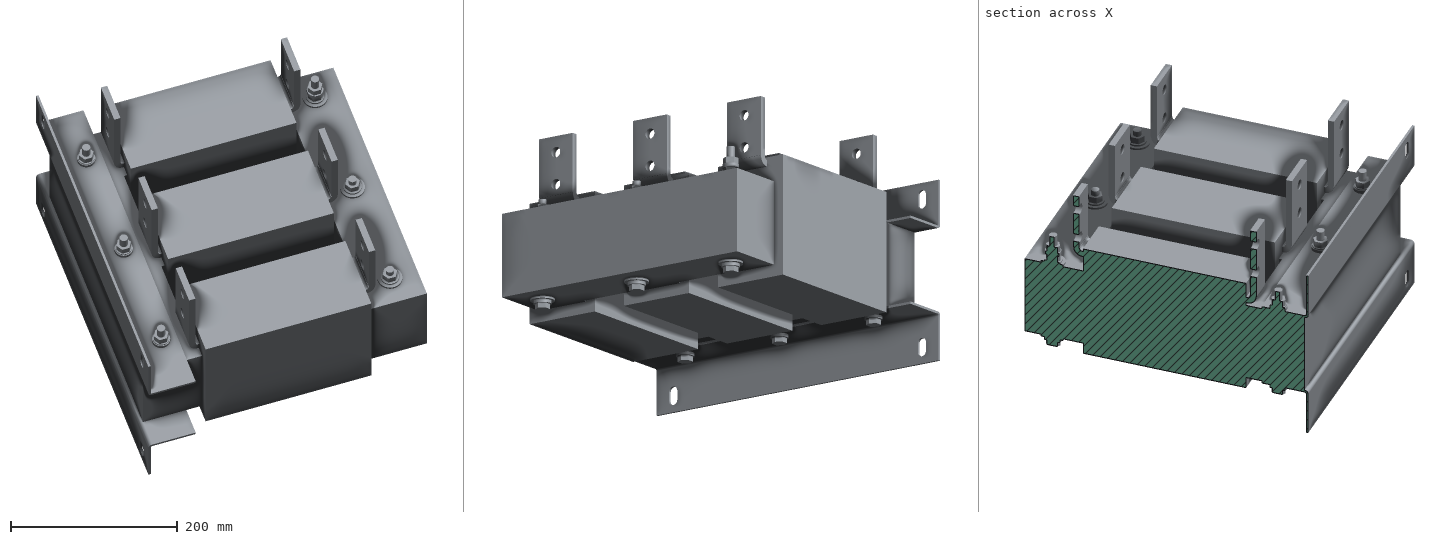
import cadquery as cq
import math


PHASE_PITCH = 140.0
LIMB_WIDTH = 70.0
CORE_WIDTH = 2 * PHASE_PITCH + LIMB_WIDTH
CORE_DEPTH = 360.0
CORE_HEIGHT = 104.0
CORE_TOP = CORE_HEIGHT / 2
YOKE_DEPTH = 71.0
PHASE_X = [-PHASE_PITCH, 0.0, PHASE_PITCH]

COIL_WIDTH = 97.0
COIL_DEPTH = 210.0
COIL_HEIGHT = 150.0
COIL_LIFT = 8.5

BRACKET_LENGTH = 420.0
BRACKET_SHEET = 3.0
BRACKET_DEPTH = 60.0
BRACKET_LEG = 60.5
BRACKET_BEND = 4.85
BRACKET_FRONT = -CORE_DEPTH / 2 - BRACKET_BEND
SLOT_SPACING = 370.0
SLOT_WIDTH = 12.0
SLOT_LENGTH = 23.0
SLOT_EDGE = 20.5

TERMINAL_WIDTH = 50.0
TERMINAL_THICKNESS = 8.0
TERMINAL_BEND = 11.0
TERMINAL_STUB = 0.5
TERMINAL_STEP = 0.5
TERMINAL_REACH = 13.0
TERMINAL_HOLE = 13.0
TERMINAL_HOLE_DEPTHS = [20.0, 60.0]
FRONT_TERMINAL_BOTTOM = 55.5
FRONT_TERMINAL_TOP = 160.0
REAR_TERMINAL_BOTTOM = 72.0
REAR_TERMINAL_TOP = 157.0

BOLT_Y = 145.0
BOLT_DIAMETER = 10.0
FRONT_BOLT_LENGTH = 140.0
REAR_BOLT_LENGTH = 130.0
EARTH_BOLT_LENGTH = 150.0
HEX_FLATS = 16.0
HEX_CORNERS = HEX_FLATS / math.cos(math.pi / 6)
NUT_HEIGHT = 8.0
HEAD_HEIGHT = 6.4
WIDE_WASHER_DIAMETER = 30.0
WIDE_WASHER_THICKNESS = 2.5
WASHER_DIAMETER = 22.0
THIN_WASHER_THICKNESS = 2.0
THICK_WASHER_THICKNESS = 4.0
LOCK_WASHER_DIAMETER = 20.0
LOCK_WASHER_THICKNESS = 1.5
EARTH_WASHER_THICKNESS = 5.0


def make_core():
    core = cq.Workplane("XY").box(CORE_WIDTH, CORE_DEPTH, CORE_HEIGHT)
    window_width = PHASE_PITCH - LIMB_WIDTH
    window_depth = CORE_DEPTH - 2 * YOKE_DEPTH
    windows = (
        cq.Workplane("XY")
        .pushPoints([(-PHASE_PITCH / 2, 0), (PHASE_PITCH / 2, 0)])
        .box(window_width, window_depth, CORE_HEIGHT)
    )
    return core.cut(windows)


def make_coil(x):
    return cq.Workplane("XY").box(COIL_WIDTH, COIL_DEPTH, COIL_HEIGHT).translate((x, 0, COIL_LIFT))


def make_bent_bar(length, flange_end, leg_face, bottom, top, thickness, bend):
    """Angle section in the YZ plane: a flange to +Y and a leg up, joined by a round bend."""
    inner_bend = bend - thickness
    bend_y = leg_face + bend
    bend_z = bottom + bend
    diagonal = math.sqrt(0.5)
    return (
        cq.Workplane("YZ")
        .moveTo(flange_end, bottom)
        .lineTo(bend_y, bottom)
        .threePointArc((bend_y - bend * diagonal, bend_z - bend * diagonal), (leg_face, bend_z))
        .lineTo(leg_face, top)
        .lineTo(leg_face + thickness, top)
        .lineTo(leg_face + thickness, bend_z)
        .threePointArc(
            (bend_y - inner_bend * diagonal, bend_z - inner_bend * diagonal),
            (bend_y, bottom + thickness),
        )
        .lineTo(flange_end, bottom + thickness)
        .close()
        .extrude(length / 2, both=True)
    )


def make_upper_bracket():
    leg_top = CORE_TOP + BRACKET_LEG
    bracket = make_bent_bar(
        BRACKET_LENGTH,
        BRACKET_FRONT + BRACKET_DEPTH,
        BRACKET_FRONT,
        CORE_TOP,
        leg_top,
        BRACKET_SHEET,
        BRACKET_BEND,
    )
    slots = (
        cq.Workplane("XZ", origin=(0, BRACKET_FRONT, leg_top - SLOT_EDGE))
        .pushPoints([(-SLOT_SPACING / 2, 0), (SLOT_SPACING / 2, 0)])
        .slot2D(SLOT_LENGTH, SLOT_WIDTH, 90)
        .extrude(BRACKET_SHEET, both=True)
    )
    return bracket.cut(slots)


def make_terminal(x, bottom, top):
    """Foot on the front coil face, round bend and a leg set slightly outwards from the bend."""
    leg_face = -COIL_DEPTH / 2 - TERMINAL_REACH
    leg_bottom = bottom + TERMINAL_BEND + TERMINAL_STUB
    bend = make_bent_bar(
        TERMINAL_WIDTH,
        -COIL_DEPTH / 2,
        leg_face + TERMINAL_STEP,
        bottom,
        leg_bottom,
        TERMINAL_THICKNESS,
        TERMINAL_BEND,
    )
    leg = cq.Workplane("XY").box(
        TERMINAL_WIDTH, TERMINAL_THICKNESS, top - leg_bottom, centered=(True, False, False)
    )
    holes = (
        cq.Workplane("XZ", origin=(0, leg_face, top))
        .pushPoints([(0, -depth) for depth in TERMINAL_HOLE_DEPTHS])
        .circle(TERMINAL_HOLE / 2)
        .extrude(-TERMINAL_THICKNESS)
    )
    terminal = leg.translate((0, leg_face, leg_bottom)).cut(holes).union(bend)
    return terminal.translate((x, 0, 0))


def make_rear_terminal(x):
    return make_terminal(x, REAR_TERMINAL_BOTTOM, REAR_TERMINAL_TOP).mirror("XZ")


def make_disc(diameter, thickness):
    return cq.Workplane("XY").circle(diameter / 2).extrude(thickness)


def make_hexagon(height):
    """Hexagon with two corners on the Y axis."""
    return cq.Workplane("XY").polygon(6, HEX_CORNERS).extrude(height).rotate((0, 0, 0), (0, 0, 1), 90)


def make_bolt(x, y, length, head_parts, nut_parts, clamped_half):
    """Bolt with parts stacked outwards from the clamped faces; the hexagon head follows head_parts."""
    nut_level = clamped_half
    pieces = []
    for part, thickness in nut_parts:
        pieces.append(part.translate((0, 0, nut_level)))
        nut_level += thickness
    head_level = -clamped_half
    for part, thickness in head_parts:
        head_level -= thickness
        pieces.append(part.translate((0, 0, head_level)))
    pieces.append(make_hexagon(HEAD_HEIGHT).translate((0, 0, head_level - HEAD_HEIGHT)))
    bolt = make_disc(BOLT_DIAMETER, length).translate((0, 0, head_level))
    for piece in pieces:
        bolt = bolt.union(piece)
    return bolt.translate((x, y, 0))


wide_washer = (make_disc(WIDE_WASHER_DIAMETER, WIDE_WASHER_THICKNESS), WIDE_WASHER_THICKNESS)
thin_washer = (make_disc(WASHER_DIAMETER, THIN_WASHER_THICKNESS), THIN_WASHER_THICKNESS)
thick_washer = (make_disc(WASHER_DIAMETER, THICK_WASHER_THICKNESS), THICK_WASHER_THICKNESS)
lock_washer = (make_disc(LOCK_WASHER_DIAMETER, LOCK_WASHER_THICKNESS), LOCK_WASHER_THICKNESS)
earth_washer = (make_disc(LOCK_WASHER_DIAMETER, EARTH_WASHER_THICKNESS), EARTH_WASHER_THICKNESS)
nut = (make_hexagon(NUT_HEIGHT), NUT_HEIGHT)


def make_front_bolt(x):
    clamped_half = CORE_TOP + BRACKET_SHEET
    nut_parts = [thick_washer, lock_washer, nut]
    return make_bolt(x, -BOLT_Y, FRONT_BOLT_LENGTH, [thick_washer], nut_parts, clamped_half)


def make_rear_bolt(x):
    """Rear yoke bolt; the first one is longer and carries a second nut as the earth stud."""
    length = REAR_BOLT_LENGTH
    nut_parts = [wide_washer, thin_washer, nut]
    if x == PHASE_X[0]:
        length = EARTH_BOLT_LENGTH
        nut_parts = nut_parts + [earth_washer, nut]
    return make_bolt(x, BOLT_Y, length, [wide_washer, thick_washer], nut_parts, CORE_TOP)


upper_bracket = make_upper_bracket()
result = make_core().union(upper_bracket).union(upper_bracket.mirror("XY"))
for phase_x in PHASE_X:
    result = result.union(make_coil(phase_x))
    result = result.union(make_terminal(phase_x, FRONT_TERMINAL_BOTTOM, FRONT_TERMINAL_TOP))
    result = result.union(make_rear_terminal(phase_x))
    result = result.union(make_rear_bolt(phase_x))
    result = result.union(make_front_bolt(phase_x))